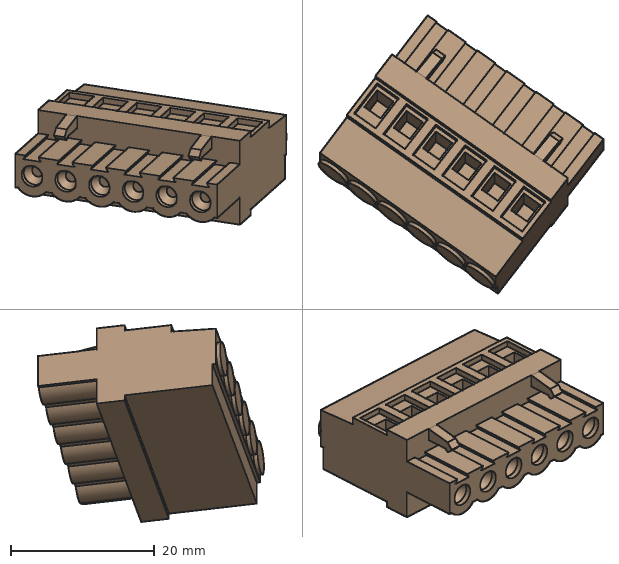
import cadquery as cq
import math

POLES = 6
LENGTH = 30.42
DEPTH = 25.9
HEIGHT = 12.6
PITCH = LENGTH / POLES
POLE_CENTERS = [(i + 0.5) * PITCH for i in range(POLES)]

COLLAR_FRONT = 8.37
COLLAR_BACK = 12.32
STEP_BELOW = 0.85
DECK_BACK = 18.98
DECK_Z = 11.7
SLOPE_FRONT_Z = 10.62
SLOPE_BACK_Z = 10.25
DISC_THICKNESS = 0.58
BACK = DEPTH - DISC_THICKNESS
BACK_NOTCH = 0.5
BACK_NOTCH_Z = 4.35

NOSE_TOP = 9.1
NOSE_VALLEY_Z = 4.08
LOBE_BOTTOM_Z = 3.1
LOBE_WIDTH = 4.2
SLOT_TOP_WIDTH = 1.98
SLOT_FLOOR_WIDTH = 2.6
SLOT_DEPTH = 0.6

SOCKET_Z = 6.15
SOCKET_RADIUS = 1.55
SOCKET_BORE_DEPTH = 0.8
SOCKET_END_RADIUS = 0.82
SOCKET_CONE_HALF_ANGLE = 30.0

RECESS_WIDTH = 3.7
RECESS_FRONT = 12.78
RECESS_BACK = 18.2
RECESS_DEPTH = 0.85
WELL_WIDTH = 2.8
WELL_FRONT = 13.4
WELL_BACK = 16.4
WELL_DEPTH = 4.87

DISC_DIAMETER = 4.75
DISC_Z = 6.75

HOOK_WIDTH = 1.6
HOOK_CENTERS = [PITCH, LENGTH - PITCH]
HOOK_UNDERSIDE_Z = 10.77
HOOK_BARB_START = 5.1
HOOK_SHOULDER = (4.62, 11.95)
HOOK_TIP = (3.8, 11.1)
HOOK_BARB_BOTTOM = (4.53, 10.37)


def extrude_along_x(points, center, width):
    """Extrude a closed (Y, Z) outline by width, centred on the given X."""
    start = center - width / 2
    return cq.Workplane("YZ", origin=(start, 0, 0)).polyline(points).close().extrude(width)


def block(center, width, front, back, bottom, top):
    """Box centred on the given X between the Y and Z limits."""
    size = (width, back - front, top - bottom)
    corner = (center - width / 2, front, bottom)
    return cq.Workplane("XY").box(*size, centered=False).translate(corner)


def housing():
    outline = [
        (COLLAR_FRONT, 0),
        (COLLAR_FRONT, HEIGHT),
        (COLLAR_BACK, HEIGHT),
        (COLLAR_BACK, DECK_Z),
        (DECK_BACK, DECK_Z),
        (DECK_BACK, SLOPE_FRONT_Z),
        (BACK, SLOPE_BACK_Z),
        (BACK, BACK_NOTCH_Z),
        (BACK - BACK_NOTCH, BACK_NOTCH_Z),
        (BACK - BACK_NOTCH, STEP_BELOW),
        (COLLAR_BACK, STEP_BELOW),
        (COLLAR_BACK, 0),
    ]
    return extrude_along_x(outline, LENGTH / 2, LENGTH)


def nose():
    """Plug nose with one rounded lobe under each pole."""
    profile = cq.Workplane("XZ").moveTo(0, NOSE_TOP).lineTo(0, NOSE_VALLEY_Z)
    for x in POLE_CENTERS:
        profile = profile.lineTo(x - LOBE_WIDTH / 2, NOSE_VALLEY_Z)
        profile = profile.threePointArc((x, LOBE_BOTTOM_Z), (x + LOBE_WIDTH / 2, NOSE_VALLEY_Z))
    profile = profile.lineTo(LENGTH, NOSE_VALLEY_Z).lineTo(LENGTH, NOSE_TOP).close()
    return profile.extrude(-COLLAR_FRONT)


def dovetail_slot(x):
    floor_z = NOSE_TOP - SLOT_DEPTH
    outline = [
        (x - SLOT_TOP_WIDTH / 2, NOSE_TOP),
        (x - SLOT_FLOOR_WIDTH / 2, floor_z),
        (x + SLOT_FLOOR_WIDTH / 2, floor_z),
        (x + SLOT_TOP_WIDTH / 2, NOSE_TOP),
    ]
    return cq.Workplane("XZ").polyline(outline).close().extrude(-COLLAR_FRONT)


def socket(x):
    cone_length = (SOCKET_RADIUS - SOCKET_END_RADIUS) / math.tan(math.radians(SOCKET_CONE_HALF_ANGLE))
    end = SOCKET_BORE_DEPTH + cone_length
    half_section = [
        (0, 0),
        (SOCKET_RADIUS, 0),
        (SOCKET_RADIUS, SOCKET_BORE_DEPTH),
        (SOCKET_END_RADIUS, end),
        (0, end),
    ]
    plane = cq.Workplane("XY", origin=(x, 0, SOCKET_Z))
    return plane.polyline(half_section).close().revolve(360, (0, 0), (0, 1))


def deck_pocket(x):
    recess_floor = DECK_Z - RECESS_DEPTH
    recess = block(x, RECESS_WIDTH, RECESS_FRONT, RECESS_BACK, recess_floor, DECK_Z)
    well = block(x, WELL_WIDTH, WELL_FRONT, WELL_BACK, recess_floor - WELL_DEPTH, recess_floor)
    return recess.union(well)


def back_disc(x):
    plane = cq.Workplane("XZ", origin=(x, BACK, DISC_Z))
    return plane.circle(DISC_DIAMETER / 2).extrude(-DISC_THICKNESS)


def latch_hook(x):
    outline = [
        (COLLAR_FRONT, HEIGHT),
        HOOK_SHOULDER,
        HOOK_TIP,
        HOOK_BARB_BOTTOM,
        (HOOK_BARB_START, HOOK_UNDERSIDE_Z),
        (COLLAR_FRONT, HOOK_UNDERSIDE_Z),
    ]
    return extrude_along_x(outline, x, HOOK_WIDTH)


result = housing().union(nose())
for pole_x in POLE_CENTERS:
    result = result.cut(dovetail_slot(pole_x))
    result = result.cut(socket(pole_x))
    result = result.cut(deck_pocket(pole_x))
    result = result.union(back_disc(pole_x))
for hook_x in HOOK_CENTERS:
    result = result.union(latch_hook(hook_x))